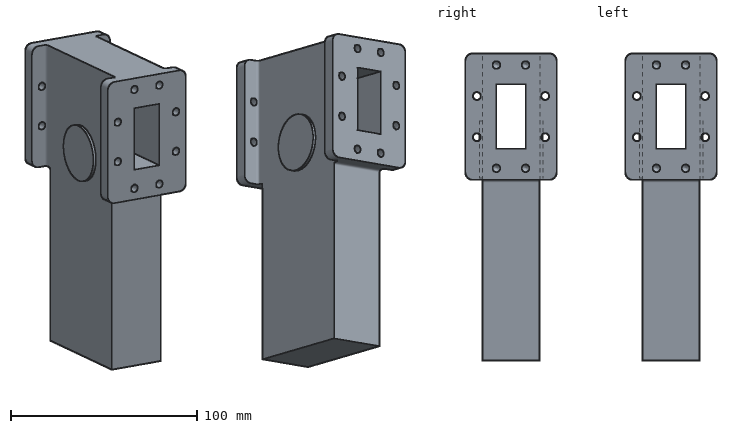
import cadquery as cq
import math

overall_width = 85.0
overall_depth = 49.2
overall_height = 165.0

stem_width = 63.4
body_depth = 30.9
inner_fillet = 1.3

flange_thickness = 7.1
flange_height = 68.0
flange_corner_radius = 4.1
flange_center_z = overall_height - flange_height / 2

passage_depth = 15.7
passage_height = 34.5

hole_diameter = 4.1
blind_hole_y = passage_depth / 2
blind_hole_z = 27.7
through_hole_y = 18.3
through_hole_z = 11.0
blind_hole_depth = 9.9
drill_point_angle = 118.0

pad_diameter = 30.7
pad_height = 1.6
pad_center_z = overall_height - 51.5


def corner_selector(x, y, z):
    """Select edges centred at (+-x, +-y, z)."""
    tolerance = 0.08
    selector = None
    for side_x in (-1, 1):
        for side_y in (-1, 1):
            center = cq.Vector(side_x * x, side_y * y, z)
            margin = cq.Vector(tolerance, tolerance, tolerance)
            box = cq.selectors.BoxSelector((center - margin).toTuple(), (center + margin).toTuple())
            selector = box if selector is None else selector + box
    return selector


def make_body():
    """T-shaped body, filleted where the head meets the flanges and the stem."""
    stem = cq.Workplane("XY").box(
        stem_width, body_depth, overall_height, centered=(True, True, False)
    )
    head = cq.Workplane("XY").box(overall_width, body_depth, flange_height)
    body = stem.union(head.translate((0, 0, flange_center_z)))

    for side in (-1, 1):
        flange_x = side * (overall_width - flange_thickness) / 2
        flange = (
            cq.Workplane("XY")
            .box(flange_thickness, overall_depth, flange_height)
            .edges("|X")
            .fillet(flange_corner_radius)
            .translate((flange_x, 0, flange_center_z))
        )
        body = body.union(flange)

    inner_x = overall_width / 2 - flange_thickness
    flange_corners = corner_selector(inner_x, body_depth / 2, flange_center_z)
    stem_corners = corner_selector(stem_width / 2, 0, overall_height - flange_height)
    body = body.edges(flange_corners).fillet(inner_fillet)
    return body.edges(stem_corners).fillet(inner_fillet)


def make_drill():
    """Drilled hole along +X from the origin, ending in a conical point."""
    radius = hole_diameter / 2
    tip = blind_hole_depth + radius / math.tan(math.radians(drill_point_angle / 2))
    return (
        cq.Workplane("XY")
        .polyline([(0, 0), (0, radius), (blind_hole_depth, radius), (tip, 0)])
        .close()
        .revolve(360, (0, 0, 0), (1, 0, 0))
    )


def add_pads(part):
    """Round pads standing on both broad faces of the body."""
    pads = (
        cq.Workplane("XZ")
        .center(0, pad_center_z)
        .circle(pad_diameter / 2)
        .extrude(body_depth / 2 + pad_height, both=True)
    )
    return part.union(pads)


def cut_passage(part):
    """Rectangular passage running from flange to flange."""
    passage = cq.Workplane("XY").box(overall_width, passage_depth, passage_height)
    return part.cut(passage.translate((0, 0, flange_center_z)))


def cut_flange_holes(part):
    """Blind holes above and below the passage, through holes beside it."""
    through_holes = (
        cq.Workplane("YZ")
        .center(0, flange_center_z)
        .rect(2 * through_hole_y, 2 * through_hole_z, forConstruction=True)
        .vertices()
        .circle(hole_diameter / 2)
        .extrude(overall_width / 2, both=True)
    )
    part = part.cut(through_holes)

    left_drill = make_drill().translate((-overall_width / 2, 0, flange_center_z))
    for side_y in (-1, 1):
        for side_z in (-1, 1):
            drill = left_drill.translate((0, side_y * blind_hole_y, side_z * blind_hole_z))
            part = part.cut(drill).cut(drill.mirror("YZ"))
    return part


result = make_body()
result = cut_flange_holes(result)
result = add_pads(result)
result = cut_passage(result)